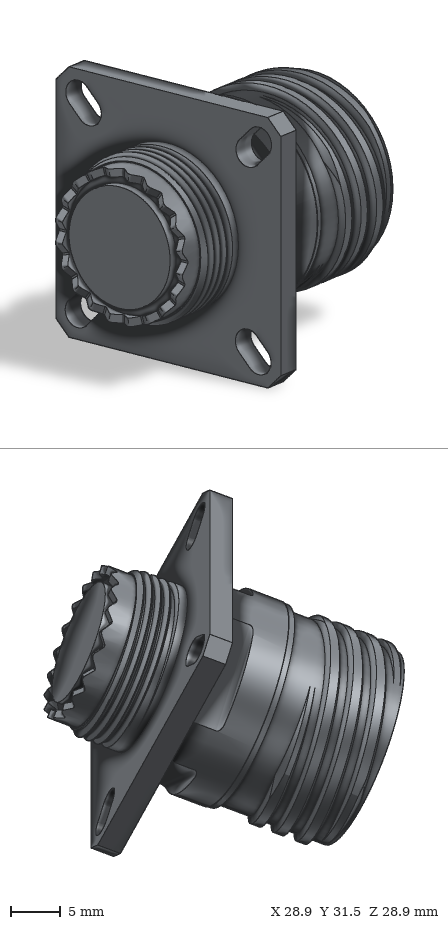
import cadquery as cq
import math


CLEARANCE = 0.3
DIAGONALS = (45, 135, 225, 315)

SHELL_LENGTH = 31.5
COLLAR_END = 19.05
COLLAR_STEP = 18.4
FLANGE_FRONT = 8.05
FLANGE_THICKNESS = 2.52
FLANGE_BACK = FLANGE_FRONT + FLANGE_THICKNESS
BARREL_END = 2.7

FLANGE_SIZE = 28.9
FLANGE_CHAMFER = 1.67
SLOT_WIDTH = 3.18
SLOT_LENGTH = 5.15
SLOT_RADIUS = 15.47
SLOT_TWIST = 0.2

COLLAR_RADIUS = 11.1
COLLAR_STEP_DEPTH = 0.1
RECESS_START = 10.7
RECESS_END = 14.68
RECESS_FLOOR = 9.48
RECESS_FILLET = 0.5

COUPLING_ROOT = 10.43
COUPLING_CREST = COLLAR_RADIUS
COUPLING_STARTS = 3
COUPLING_LEAD = 7.62
COUPLING_CREST_WIDTH = 1.0
COUPLING_ROOT_WIDTH = 1.7
COUPLING_FRONT = 21.9
COUPLING_BACK = 31.15
COUPLING_START = 21.58
COUPLING_START_ANGLE = -85.0
COUPLING_RISE = 9.7
COUPLING_FADE = 1.07
COUPLING_EMBED = 0.13

BOSS_RADIUS = 9.0
GROOVE_BOTTOM_RADIUS = 8.38
GROOVE_LEAD = 1.0
GROOVE_MOUTH_WIDTH = 0.9
GROOVE_BOTTOM_WIDTH = 0.2
GROOVE_START = 1.85
GROOVE_START_ANGLE = 90.0
GROOVE_FULL_TURNS = 4
GROOVE_LAST_TURN = 0.65
GROOVE_FADE_TURN = 0.38
GROOVE_OVERCUT = 0.03

BARREL_RADIUS = 8.25
RIM_INNER_RADIUS = 7.37
RIM_DEPTH = 1.1
PLUG_RADIUS = 6.5
PLUG_RECESS = 0.1
TOOTH_COUNT = 20
NOTCH_DEPTH = 0.75
NOTCH_MOUTH_WIDTH = 2.52
NOTCH_FLANK_WIDTH = 1.9
TIP_ROUND_HEIGHT = 0.13
NOTCH_FLOOR_WIDTH = 0.22


def disc(radius, start, end):
    return cq.Workplane("XY").workplane(offset=start).circle(radius).extrude(end - start)


def conical_helix(radius_start, radius_end, start, rise, lead, angle):
    """Helix edge from height `start`, whose radius changes evenly over the rise."""
    if radius_start == radius_end:
        helix = cq.Wire.makeHelix(lead, rise, radius_start)
    else:
        cone_angle = math.atan2(radius_end - radius_start, rise)
        slant = 1 / math.cos(cone_angle)
        helix = cq.Wire.makeHelix(lead * slant, rise * slant, radius_start, angle=math.degrees(cone_angle))
    helix = helix.rotate(cq.Vector(0, 0, 0), cq.Vector(0, 0, 1), angle)
    return helix.translate(cq.Vector(0, 0, start)).Edges()[0]


def helical_bar(base, tip, start, start_angle, lead, stages):
    """Helical bar with a trapezoidal section.

    `base` and `tip` are (radius, width) pairs that fix the base and the flank slope. Each stage is
    (axial rise, first tip radius, last tip radius), at most one turn long.
    """
    base_radius, base_width = base
    flank_slope = (tip[1] - base_width) / (tip[0] - base_radius)
    faces = []
    sections = []
    height = start
    for rise, first_tip, last_tip in stages:
        angle = start_angle + 360 * (height - start) / lead
        first_half = (base_width + flank_slope * (first_tip - base_radius)) / 2
        last_half = (base_width + flank_slope * (last_tip - base_radius)) / 2
        corners = (
            (base_radius, base_radius, -base_width / 2, -base_width / 2),
            (first_tip, last_tip, -first_half, -last_half),
            (first_tip, last_tip, first_half, last_half),
            (base_radius, base_radius, base_width / 2, base_width / 2),
        )
        edges = []
        for first_radius, last_radius, first_offset, last_offset in corners:
            corner_rise = rise + last_offset - first_offset
            corner_lead = lead * corner_rise / rise
            edges.append(conical_helix(
                first_radius, last_radius, height + first_offset, corner_rise, corner_lead, angle
            ))
        for i, edge in enumerate(edges):
            faces.append(cq.Face.makeRuledSurface(edge, edges[(i + 1) % len(edges)]))
        sections.append([edge.startPoint() for edge in edges])
        sections.append([edge.endPoint() for edge in edges])
        height += rise
    for section in (sections[0], sections[-1]):
        faces.append(cq.Face.makeFromWires(cq.Wire.makePolygon(section, close=True)))
    return cq.Workplane(cq.Solid.makeSolid(cq.Shell.makeShell(faces)).fix())


def shell_body():
    step_radius = COLLAR_RADIUS - COLLAR_STEP_DEPTH
    profile = [
        (0, 0),
        (BARREL_RADIUS, 0),
        (BARREL_RADIUS, BARREL_END),
        (GROOVE_BOTTOM_RADIUS, BARREL_END),
        (BOSS_RADIUS, BARREL_END + BOSS_RADIUS - GROOVE_BOTTOM_RADIUS),
        (BOSS_RADIUS, FLANGE_BACK),
        (COLLAR_RADIUS, FLANGE_BACK),
        (COLLAR_RADIUS, COLLAR_STEP),
        (step_radius, COLLAR_STEP),
        (step_radius, COLLAR_END),
        (COUPLING_ROOT, COLLAR_END),
        (COUPLING_ROOT, SHELL_LENGTH),
        (0, SHELL_LENGTH),
    ]
    return cq.Workplane("XZ").polyline(profile).close().revolve(360, (0, 0), (0, 1))


def flange():
    plate = (
        cq.Workplane("XY").workplane(offset=FLANGE_FRONT)
        .rect(FLANGE_SIZE, FLANGE_SIZE).extrude(FLANGE_THICKNESS)
        .edges("|Z").chamfer(FLANGE_CHAMFER)
    )
    slot = (
        cq.Workplane("XY").workplane(offset=FLANGE_FRONT)
        .slot2D(SLOT_LENGTH, SLOT_WIDTH).extrude(FLANGE_THICKNESS)
    )
    for diagonal in DIAGONALS:
        direction = math.radians(diagonal + SLOT_TWIST)
        centre = (SLOT_RADIUS * math.cos(direction), SLOT_RADIUS * math.sin(direction), 0)
        plate = plate.cut(slot.rotate((0, 0, 0), (0, 0, 1), diagonal).translate(centre))
    return plate


def wrench_recesses():
    depth = COLLAR_RADIUS - RECESS_FLOOR + CLEARANCE
    block = (
        cq.Workplane("XY")
        .box(depth, 2 * COLLAR_RADIUS, RECESS_END - RECESS_START, centered=(False, True, False))
        .translate((RECESS_FLOOR, 0, RECESS_START))
        .edges("<X and |Y").fillet(RECESS_FILLET)
    )
    recesses = cq.Workplane("XY")
    for diagonal in DIAGONALS:
        recesses = recesses.add(block.rotate((0, 0, 0), (0, 0, 1), diagonal))
    return recesses.combine()


def coupling_ridges():
    full_rise = COUPLING_RISE - 2 * COUPLING_FADE
    stages = [
        (COUPLING_FADE, COUPLING_ROOT, COUPLING_CREST),
        (full_rise, COUPLING_CREST, COUPLING_CREST),
        (COUPLING_FADE, COUPLING_CREST, COUPLING_ROOT),
    ]
    flank_slope = (COUPLING_CREST_WIDTH - COUPLING_ROOT_WIDTH) / (COUPLING_CREST - COUPLING_ROOT)
    base = (COUPLING_ROOT - COUPLING_EMBED, COUPLING_ROOT_WIDTH - flank_slope * COUPLING_EMBED)
    tip = (COUPLING_CREST, COUPLING_CREST_WIDTH)
    ridge = helical_bar(base, tip, COUPLING_START, COUPLING_START_ANGLE, COUPLING_LEAD, stages)
    envelope_radius = COUPLING_CREST + CLEARANCE
    envelope = disc(envelope_radius, COUPLING_FRONT, COUPLING_BACK)
    envelope = envelope.faces("<Z or >Z").chamfer(envelope_radius - COUPLING_ROOT)
    ridge = ridge.intersect(envelope)
    return [ridge.rotate((0, 0, 0), (0, 0, 1), i * 360 / COUPLING_STARTS) for i in range(COUPLING_STARTS)]


def accessory_groove():
    flank_slope = (GROOVE_MOUTH_WIDTH - GROOVE_BOTTOM_WIDTH) / (BOSS_RADIUS - GROOVE_BOTTOM_RADIUS)
    base = (BOSS_RADIUS + GROOVE_OVERCUT, GROOVE_MOUTH_WIDTH + flank_slope * GROOVE_OVERCUT)
    tip = (GROOVE_BOTTOM_RADIUS, GROOVE_BOTTOM_WIDTH)
    stages = [(GROOVE_LEAD, GROOVE_BOTTOM_RADIUS, GROOVE_BOTTOM_RADIUS)] * GROOVE_FULL_TURNS
    stages.append((GROOVE_LAST_TURN * GROOVE_LEAD, GROOVE_BOTTOM_RADIUS, GROOVE_BOTTOM_RADIUS))
    stages.append((GROOVE_FADE_TURN * GROOVE_LEAD, GROOVE_BOTTOM_RADIUS, BOSS_RADIUS))
    return helical_bar(base, tip, GROOVE_START, GROOVE_START_ANGLE, GROOVE_LEAD, stages)


def rim_cutters():
    ring = disc(RIM_INNER_RADIUS, 0, RIM_DEPTH).cut(disc(PLUG_RADIUS, 0, RIM_DEPTH))
    half_notch = (
        cq.Workplane("YZ").workplane(offset=(PLUG_RADIUS + RIM_INNER_RADIUS) / 2)
        .moveTo(NOTCH_FLOOR_WIDTH / 2, NOTCH_DEPTH)
        .lineTo(NOTCH_FLANK_WIDTH / 2, TIP_ROUND_HEIGHT)
        .tangentArcPoint((NOTCH_MOUTH_WIDTH / 2, 0), relative=False)
        .lineTo(0, 0)
        .lineTo(0, NOTCH_DEPTH)
        .close().extrude(BARREL_RADIUS - PLUG_RADIUS)
    )
    notch = half_notch.union(half_notch.mirror("XZ"))
    cutters = [ring, disc(PLUG_RADIUS, 0, PLUG_RECESS)]
    for i in range(TOOTH_COUNT):
        cutters.append(notch.rotate((0, 0, 0), (0, 0, 1), i * 360 / TOOTH_COUNT))
    return cutters


body = shell_body().cut(accessory_groove())
body = body.union(flange()).cut(wrench_recesses())
for cutter in rim_cutters():
    body = body.cut(cutter)
for ridge in coupling_ridges():
    body = body.union(ridge)

result = body.rotate((0, 0, 0), (1, 0, 0), -90)